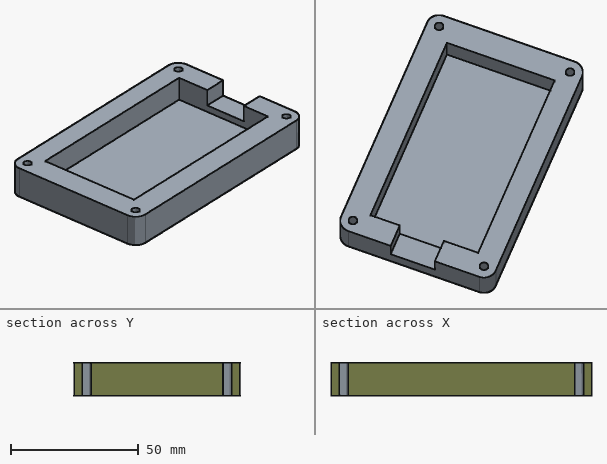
import cadquery as cq

width = 65.0
length = 101.9
height = 13.0
corner_radius = 5.0

left_wall = 9.3
front_wall = 10.6
pocket_width = 45.3
pocket_length = 81.6
pocket_depth = 10.0

notch_left = 23.6
notch_width = 18.5
notch_depth = 7.0

hole_diameter = 3.4


def box_cut_from_top(x_start, y_start, x_size, y_size, depth):
    """Block whose top is flush with the top of the body."""
    return (
        cq.Workplane("XY")
        .box(x_size, y_size, depth, centered=False)
        .translate((x_start, y_start, height - depth))
    )


body = (
    cq.Workplane("XY")
    .box(width, length, height, centered=False)
    .edges("|Z")
    .fillet(corner_radius)
)

pocket = box_cut_from_top(left_wall, front_wall, pocket_width, pocket_length, pocket_depth)

pocket_back = front_wall + pocket_length
notch = box_cut_from_top(notch_left, pocket_back, notch_width, length - pocket_back, notch_depth)

hole_centers = [
    (x, y)
    for x in (corner_radius, width - corner_radius)
    for y in (corner_radius, length - corner_radius)
]
screw_holes = (
    cq.Workplane("XY")
    .pushPoints(hole_centers)
    .circle(hole_diameter / 2)
    .extrude(height)
)

result = body.cut(pocket).cut(notch).cut(screw_holes)